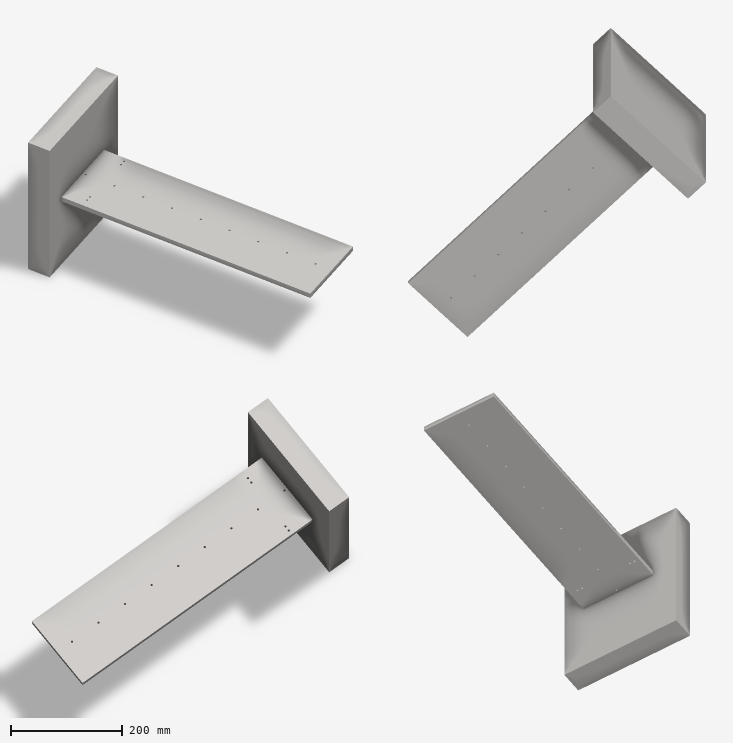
import cadquery as cq

total_length = 564.5
plate_width = 240.5
plate_height = 300.0
plate_thickness = 45.0

arm_width = 150.0
arm_thickness = 10.0
arm_centre_y = -4.0
arm_bottom = plate_height / 2
arm_length = total_length - plate_thickness

hole_diameter = 4.0
row_count = 9
row_start_x = 51.5
row_end_x = 531.0
row_pitch = (row_end_x - row_start_x) / (row_count - 1)
pair_pitch = 10.0
rear_pair_x = 92.0
rear_pair_inner_y = 52.0
front_pair_x = 89.0
front_pair_inner_y = -52.5


def upright_plate():
    """Thick upright plate at the low-X end, centred in Y and standing on Z = 0."""
    return cq.Workplane("XY").box(
        plate_thickness, plate_width, plate_height, centered=(False, True, False)
    )


def arm():
    """Thin flat arm reaching from the plate in +X."""
    return (
        cq.Workplane("XY")
        .box(arm_length, arm_width, arm_thickness, centered=(False, True, False))
        .translate((plate_thickness, arm_centre_y, arm_bottom))
    )


def hole_centres():
    """Lengthwise row of holes, plus one pair near each long edge."""
    row = [(row_start_x + i * row_pitch, arm_centre_y) for i in range(row_count)]
    rear_pair = [(rear_pair_x, rear_pair_inner_y + i * pair_pitch) for i in range(2)]
    front_pair = [(front_pair_x, front_pair_inner_y - i * pair_pitch) for i in range(2)]
    return row + rear_pair + front_pair


hole_cutters = (
    cq.Workplane("XY", origin=(0, 0, arm_bottom))
    .pushPoints(hole_centres())
    .circle(hole_diameter / 2)
    .extrude(arm_thickness)
)

result = upright_plate().union(arm()).cut(hole_cutters)